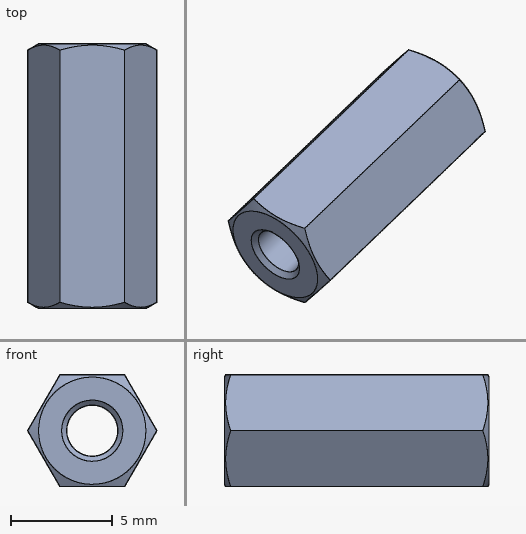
import cadquery as cq
import math

length = 13.0
across_flats = 5.5
bore_diameter = 2.5
countersink_diameter = 3.0
countersink_angle = 45.0
end_face_diameter = 5.26
corner_chamfer_angle = 30.0

across_corners = across_flats / math.cos(math.radians(30))
half_length = length / 2
corner_radius = across_corners / 2
end_face_radius = end_face_diameter / 2
bore_radius = bore_diameter / 2
countersink_radius = countersink_diameter / 2
corner_drop = (corner_radius - end_face_radius) * math.tan(math.radians(corner_chamfer_angle))
countersink_depth = (countersink_radius - bore_radius) / math.tan(math.radians(countersink_angle))


def revolve_about_y(points):
    """Turn a closed (radius, y) outline around the Y axis."""
    return cq.Workplane("XY").polyline(points).close().revolve(360, (0, 0, 0), (0, 1, 0))


hex_bar = cq.Workplane("XZ").polygon(6, across_corners).extrude(half_length, both=True)

chamfer_envelope = revolve_about_y([
    (0, -half_length),
    (end_face_radius, -half_length),
    (corner_radius, -half_length + corner_drop),
    (corner_radius, half_length - corner_drop),
    (end_face_radius, half_length),
    (0, half_length),
])

bore = revolve_about_y([
    (0, -half_length),
    (countersink_radius, -half_length),
    (bore_radius, -half_length + countersink_depth),
    (bore_radius, half_length - countersink_depth),
    (countersink_radius, half_length),
    (0, half_length),
])

result = hex_bar.intersect(chamfer_envelope).cut(bore)